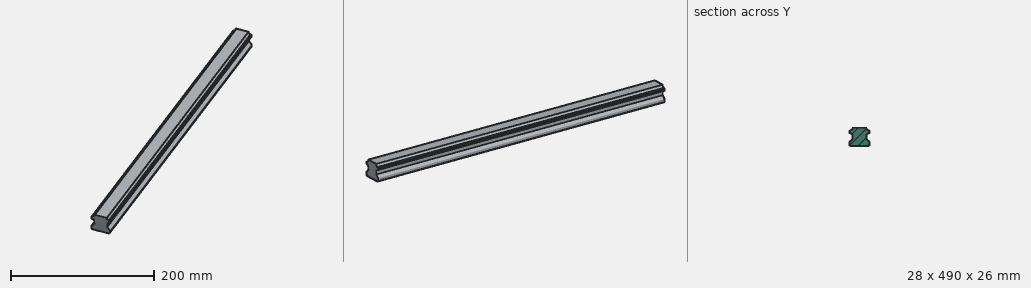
import cadquery as cq
import math

length = 490.0
width = 28.0
height = 26.0
half_width = width / 2

crown_inset = 4.5
flank_top = 21.0
flank_bottom = 18.5
land_width = 1.5
land_height = 1.22
groove_sag = 1.0

neck_half_width = 10.0
neck_top = 14.0
foot_top = 6.0
foot_chamfer = 1.5
foot_round = 0.75
neck_bottom = foot_top + half_width - neck_half_width


def groove_middle(start, end, toward_z):
    """Middle point of a groove arc, set back from its chord into the rail at 45 degrees."""
    setback = groove_sag / math.sqrt(2)
    middle_x = (start[0] + end[0]) / 2 - setback
    middle_z = (start[1] + end[1]) / 2 + toward_z * setback
    return (middle_x, middle_z)


def half_section():
    """Closed +X half of the rail profile, in the XZ plane."""
    neck = (neck_half_width, neck_top)
    lower_land = (half_width - land_width, flank_bottom - land_height)
    upper_land = (half_width - land_width, flank_top + land_height)
    crown = (half_width - crown_inset, height)
    return (
        cq.Workplane("XZ")
        .lineTo(half_width - foot_chamfer, 0)
        .lineTo(half_width, foot_chamfer)
        .lineTo(half_width, foot_top)
        .lineTo(neck_half_width, neck_bottom)
        .lineTo(*neck)
        .threePointArc(groove_middle(neck, lower_land, 1), lower_land)
        .lineTo(half_width, flank_bottom)
        .lineTo(half_width, flank_top)
        .lineTo(*upper_land)
        .threePointArc(groove_middle(upper_land, crown, -1), crown)
        .lineTo(0, height)
        .close()
    )


def corner_edges(x, z):
    """Selector for the lengthwise edge through the profile corner at (x, z)."""
    margin = 0.05
    return cq.selectors.BoxSelector(
        (x - margin, -length, z - margin),
        (x + margin, length, z + margin),
    )


half_rail = half_section().extrude(length / 2, both=True)
half_rail = half_rail.edges(corner_edges(half_width, foot_top)).fillet(foot_round)
result = half_rail.union(half_rail.mirror("YZ")).clean()